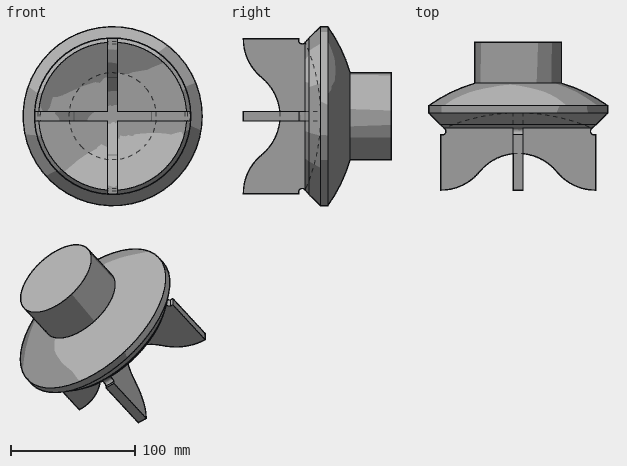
import cadquery as cq
import math

disc_radius = 72.0
disc_front_y = 12.2
disc_back_y = 18.1
seat_radius = 63.0
seat_y = 3.0
seal_radius = 62.6
lip_radius = 59.5
boss_radius = 35.0
boss_front_y = 36.1
boss_back_y = 69.1
cavity_depth = 12.4

fin_thickness = 7.9
fin_radius = 62.4
fin_front_y = boss_back_y - 119.0
fin_crest_y = -20.2
relief_y = -5.2
relief_floor_radius = 58.2
relief_end_radius = 60.0
fin_root_y = cavity_depth + 2.9


def arc_about_axis(start, end):
    """Middle point of the arc from start to end whose centre lies on the Y axis."""
    (r0, y0), (r1, y1) = start, end
    center_y = (r1**2 + y1**2 - r0**2 - y0**2) / (2 * (y1 - y0))
    radius = math.hypot(r0, y0 - center_y)
    middle_r = (r0 + r1) / 2
    return middle_r, center_y + math.sqrt(radius**2 - middle_r**2)


def make_disc():
    dome_edge = (disc_radius, disc_back_y)
    dome_top = (boss_radius, boss_front_y)
    rim_edge = (lip_radius, 0)
    cavity_center = (0, cavity_depth)
    profile = (
        cq.Workplane("XY")
        .moveTo(*cavity_center)
        .lineTo(0, boss_back_y)
        .lineTo(boss_radius, boss_back_y)
        .lineTo(*dome_top)
        .threePointArc(arc_about_axis(dome_top, dome_edge), dome_edge)
        .lineTo(disc_radius, disc_front_y)
        .lineTo(seat_radius, seat_y)
        .lineTo(seal_radius, seat_y)
        .lineTo(*rim_edge)
        .threePointArc(arc_about_axis(rim_edge, cavity_center), cavity_center)
        .close()
    )
    return profile.revolve(360, (0, 0, 0), (0, 1, 0))


def make_fins():
    """Two crossed plates trimmed by a turned outline with relief groove and S-shaped front."""
    crest = (0, fin_crest_y)
    bend = (fin_radius / 2, (fin_crest_y + fin_front_y) / 2)
    inner_middle = arc_about_axis(crest, bend)
    outer_middle = (2 * bend[0] - inner_middle[0], 2 * bend[1] - inner_middle[1])
    envelope = (
        cq.Workplane("XY")
        .moveTo(0, fin_root_y)
        .lineTo(boss_radius, fin_root_y)
        .lineTo(lip_radius, 0)
        .threePointArc((relief_floor_radius, relief_y / 2), (relief_end_radius, relief_y))
        .lineTo(fin_radius, relief_y)
        .lineTo(fin_radius, fin_front_y)
        .threePointArc(outer_middle, bend)
        .threePointArc(inner_middle, crest)
        .close()
        .revolve(360, (0, 0, 0), (0, 1, 0))
    )
    plate_width = 2 * disc_radius
    plate_length = 2 * boss_back_y
    plates = cq.Workplane("XY").box(plate_width, plate_length, fin_thickness)
    plates = plates.union(cq.Workplane("XY").box(fin_thickness, plate_length, plate_width))
    return envelope.intersect(plates)


result = make_disc().union(make_fins())